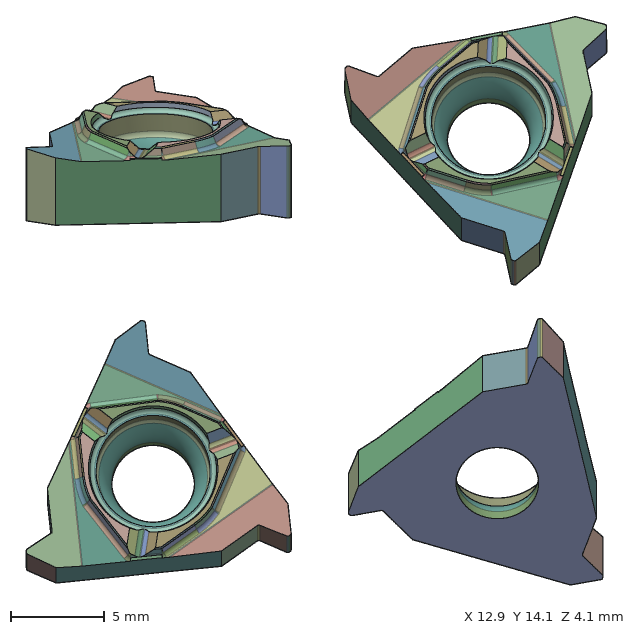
import cadquery as cq
import math

ARMS = 3
ARM_ANGLE = 360 / ARMS

margin = 0.14
level_tolerance = 0.01

overall_length = 14.14
side_distance = 4.75
crest_y = 7.18
root_y = 5.7
crest_width = 0.23
crest_radius = 0.11
root_radius = 0.14
side_tilt = math.radians(60)
flank_slope = math.tan(side_tilt)

height = 4.1
land_z = 3.54

rake_start_y = 4.3
rake_angle = math.radians(10)
rake_blend_radius = 0.28

boss_radius = 3.78
boss_slant_distance = 3.7
boss_slant_angle = math.radians(121.5)
boss_side_distance = 4.35
boss_taper = 25
boss_foot_radius = 0.28
boss_rim_z = 4.05
boss_rim_taper = 55

shelf_z = 3.6
shelf_length = 1.7
shelf_width = 0.42

groove_angle = 165.5
groove_half_top = 0.76
groove_half_floor = 0.17
groove_floor_z = 3.6
groove_radius = 0.38

throat_radius = 4.4 / 2
seat_radius = 2.12
seat_sweep = math.radians(48)
seat_bottom_z = 0.74
seat_blend_radius = 0.42
ring_z = 3.59
ring_outer_radius = 3.38
ring_top_radius = 3.45
ring_corner_radius = 0.25


def turned(point, index):
    """Turn a point about Z by a number of arm steps."""
    angle = math.radians(ARM_ANGLE * index)
    x, y = point
    return (x * math.cos(angle) - y * math.sin(angle), x * math.sin(angle) + y * math.cos(angle))


def around(shape, index):
    """Turn a solid about Z by a number of arm steps."""
    return shape.rotate((0, 0, 0), (0, 0, 1), ARM_ANGLE * index)


def make_outline_prism():
    shoulder_y = 2 * (overall_length - crest_y - side_distance * math.sin(side_tilt))
    crest_left = -side_distance + (crest_y - shoulder_y) / flank_slope
    crest_right = crest_left + crest_width
    root_x = crest_right + (crest_y - root_y) / flank_slope
    heel_x = (side_distance - root_y * math.sin(side_tilt)) / math.cos(side_tilt)
    arm = [
        (heel_x, root_y),
        (root_x, root_y),
        (crest_right, crest_y),
        (crest_left, crest_y),
        (-side_distance, shoulder_y),
    ]
    points = [turned(point, i) for i in range(ARMS) for point in arm]
    prism = cq.Workplane("XY").polyline(points).close().extrude(height)

    def round_corners(solid, corner, radius):
        picked = solid.newObject([])
        for i in range(ARMS):
            x, y = turned(corner, i)
            picked = picked.add(solid.edges(cq.selectors.NearestToPointSelector((x, y, height / 2))))
        return solid.newObject(picked.vals()).fillet(radius)

    prism = round_corners(prism, arm[1], root_radius)
    prism = round_corners(prism, arm[2], crest_radius)
    return round_corners(prism, arm[3], crest_radius)


def make_boss():
    normal_x = math.cos(boss_slant_angle)
    normal_y = math.sin(boss_slant_angle)
    arc_end_angle = boss_slant_angle - math.acos(boss_slant_distance / boss_radius)
    arc_mid_angle = (math.pi / 2 + arc_end_angle) / 2
    arc_mid = (boss_radius * math.cos(arc_mid_angle), boss_radius * math.sin(arc_mid_angle))
    arc_end = (boss_radius * math.cos(arc_end_angle), boss_radius * math.sin(arc_end_angle))
    slant_end = (-boss_side_distance, (boss_slant_distance + boss_side_distance * normal_x) / normal_y)
    flat_start = (2 * boss_side_distance - boss_radius * math.sqrt(3), boss_radius)
    profile = cq.Workplane("XY", origin=(0, 0, boss_rim_z)).moveTo(*flat_start)
    for i in range(ARMS):
        profile = profile.lineTo(*turned((0, boss_radius), i))
        profile = profile.threePointArc(turned(arc_mid, i), turned(arc_end, i))
        profile = profile.lineTo(*turned(slant_end, i))
        profile = profile.lineTo(*turned(flat_start, i + 1))
    outline = profile.wire()
    wall = outline.extrude(land_z - boss_rim_z, combine=False, taper=-boss_taper)
    rim = outline.toPending().extrude(height - boss_rim_z, combine=False, taper=boss_rim_taper)
    plate = cq.Workplane("XY").circle(overall_length).extrude(land_z)
    half_box = overall_length / 2
    foot = cq.selectors.BoxSelector(
        (-half_box, -half_box, land_z - level_tolerance),
        (half_box, half_box, land_z + level_tolerance),
    )
    raised = plate.union(wall).edges(foot).fillet(boss_foot_radius)
    return raised.union(rim)


def make_rake():
    """Wedge that carries the rake face, with a rounded start on the land."""
    end_y = crest_y + margin
    start_x = -side_distance - margin
    end_x = (side_distance - rake_start_y * math.sin(side_tilt)) / math.cos(side_tilt) + margin
    blend = rake_blend_radius * math.tan(rake_angle / 2)
    start = (rake_start_y - blend, land_z)
    blend_end = (rake_start_y + blend * math.cos(rake_angle), land_z + blend * math.sin(rake_angle))
    end_z = land_z + (end_y - rake_start_y) * math.tan(rake_angle)
    return (
        cq.Workplane("YZ", origin=(start_x, 0, 0))
        .moveTo(start[0], 0)
        .lineTo(*start)
        .radiusArc(blend_end, -rake_blend_radius)
        .lineTo(end_y, end_z)
        .lineTo(end_y, 0)
        .close()
        .extrude(end_x - start_x)
    )


def make_shelf():
    base = cq.Workplane("XY", origin=(-side_distance, 0, 0))
    return base.box(shelf_width, shelf_length, shelf_z, centered=False)


def make_groove():
    depth = height - groove_floor_z
    flare = (groove_half_top - groove_half_floor) / depth
    top = height + margin
    half_top = groove_half_floor + flare * (top - groove_floor_z)
    groove = (
        cq.Workplane("YZ")
        .moveTo(-half_top, top)
        .lineTo(-groove_half_floor, groove_floor_z)
        .lineTo(groove_half_floor, groove_floor_z)
        .lineTo(half_top, top)
        .close()
        .extrude(overall_length)
    )
    groove = groove.faces("<Z").edges("|X").fillet(groove_radius)
    return groove.rotate((0, 0, 0), (0, 0, 1), groove_angle)


def make_bore():
    seat_top_r = throat_radius + seat_radius * (1 - math.cos(seat_sweep))
    seat_top_z = seat_bottom_z + seat_radius * math.sin(seat_sweep)
    wall_r = seat_top_r + seat_blend_radius * (1 - math.cos(seat_sweep))
    wall_z = seat_top_z + seat_blend_radius * math.sin(seat_sweep)
    corner_r = ring_outer_radius - ring_corner_radius
    return (
        cq.Workplane("XZ")
        .lineTo(throat_radius, 0)
        .lineTo(throat_radius, seat_bottom_z)
        .radiusArc((seat_top_r, seat_top_z), seat_radius)
        .radiusArc((wall_r, wall_z), -seat_blend_radius)
        .lineTo(wall_r, ring_z)
        .lineTo(corner_r, ring_z)
        .radiusArc((ring_outer_radius, ring_z + ring_corner_radius), -ring_corner_radius)
        .lineTo(ring_top_radius, height)
        .lineTo(0, height)
        .close()
        .revolve(360, (0, 0, 0), (0, 1, 0))
    )


body = make_boss()
for i in range(ARMS):
    body = body.union(around(make_rake(), i))
    body = body.union(around(make_shelf(), i))
body = body.intersect(make_outline_prism())
for i in range(ARMS):
    body = body.cut(around(make_groove(), i))
result = body.cut(make_bore())